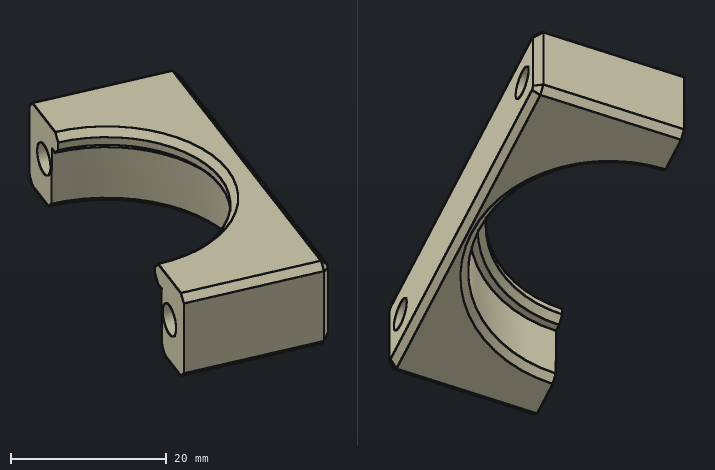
import cadquery as cq

WIDTH = 50.8
DEPTH = 20.55
HEIGHT = 12.7
EDGE_CHAMFER = 1.0

LIP_RADIUS = 15.9
LIP_THICKNESS = 3.175
BORE_TOP_RADIUS = 17.97
BORE_BOTTOM_RADIUS = 18.12
OPENING_CHAMFER = 1.0

BOLT_DIAMETER = 4.37
BOLT_OFFSET = 20.64


def make_block():
    """Bar with chamfered long edges, then a chamfer around its whole rear outline."""
    block = cq.Workplane("XY").box(WIDTH, DEPTH, HEIGHT, centered=(True, False, False))
    block = block.edges("|Y").chamfer(EDGE_CHAMFER)
    return block.faces(">Y").edges().chamfer(EDGE_CHAMFER)


def make_opening():
    """Revolved cutter: tapered bore below a narrower lip, with all rims chamfered."""
    lip_bottom = HEIGHT - LIP_THICKNESS
    lip_rim_radius = LIP_RADIUS + OPENING_CHAMFER
    profile = [
        (0, 0),
        (BORE_BOTTOM_RADIUS + OPENING_CHAMFER, 0),
        (BORE_BOTTOM_RADIUS, OPENING_CHAMFER),
        (BORE_TOP_RADIUS, lip_bottom),
        (lip_rim_radius, lip_bottom),
        (LIP_RADIUS, lip_bottom + OPENING_CHAMFER),
        (LIP_RADIUS, HEIGHT - OPENING_CHAMFER),
        (lip_rim_radius, HEIGHT),
        (0, HEIGHT),
    ]
    return cq.Workplane("XZ").polyline(profile).close().revolve(360, (0, 0, 0), (0, 1, 0))


def make_bolt_holes():
    """Pair of cylinders at mid height, one on each side of the opening."""
    holes = cq.Workplane("XZ").pushPoints(
        [(side * BOLT_OFFSET, HEIGHT / 2) for side in (-1, 1)]
    )
    return holes.circle(BOLT_DIAMETER / 2).extrude(-DEPTH)


result = make_block().cut(make_opening()).cut(make_bolt_holes())